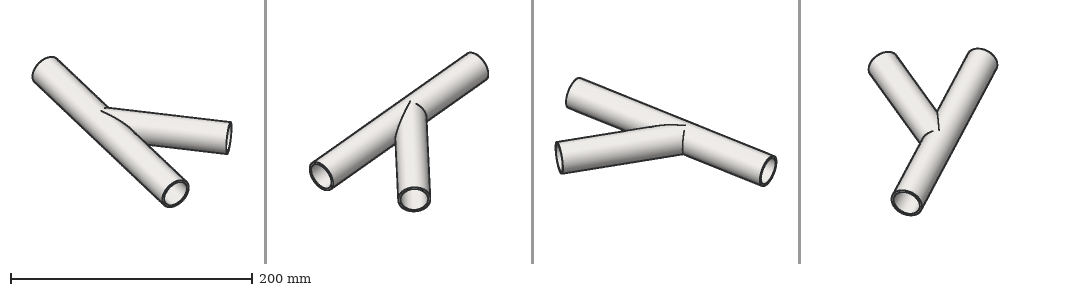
import cadquery as cq
import math

run_length = 188
outer_diameter = 26.9
bore_diameter = 23.0
branch_angle = 45
branch_start = 80.5
overall_width = 98.9

outer_radius = outer_diameter / 2
slope = math.radians(branch_angle)
branch_reach = overall_width - outer_radius - outer_radius * math.cos(slope)
branch_length = branch_reach / math.sin(slope)

run_plane = cq.Plane(origin=(0, 0, 0), xDir=(0, 0, 1), normal=(1, 0, 0))
branch_plane = cq.Plane(
    origin=(branch_start, 0, 0),
    xDir=(0, 0, 1),
    normal=(math.cos(slope), math.sin(slope), 0),
)


def tee(diameter):
    """Solid run and branch rods of one diameter, joined."""
    run = cq.Workplane(run_plane).circle(diameter / 2).extrude(run_length)
    branch = cq.Workplane(branch_plane).circle(diameter / 2).extrude(branch_length)
    return run.union(branch)


result = tee(outer_diameter).cut(tee(bore_diameter))